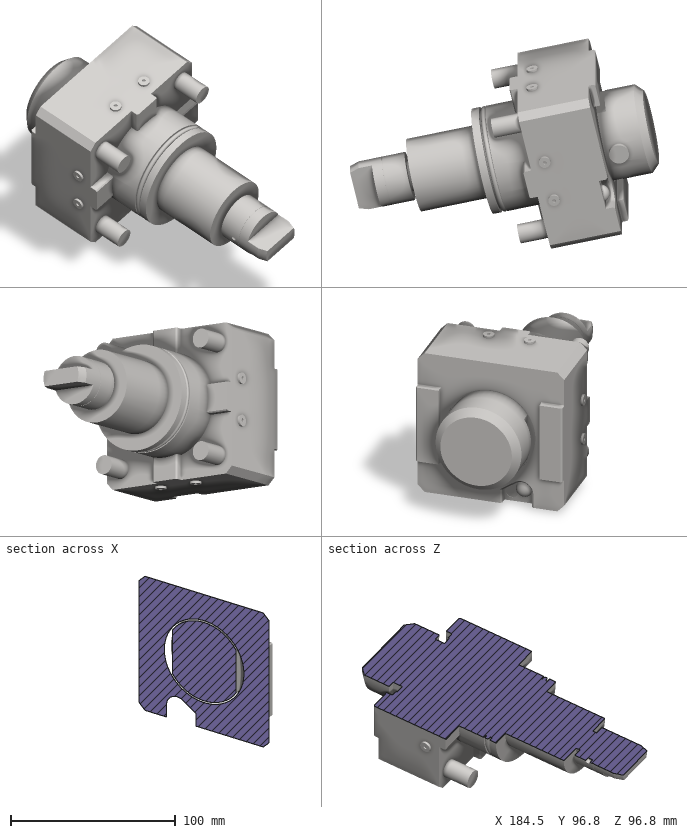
import cadquery as cq
import math


nose_chamfer = 4.6
block_start = 28.5
block_end = 72.5
key_end = 77.5
bolt_end = 90.2
groove_start = 95.8
groove_end = 99.8
flange_end = 104.6
shank_end = 147.5
neck_end = 150.0
head_line = 163.7
head_end = 170.5
tang_taper_start = 178.8
tang_end = 184.5

nose_radius = 27.5
nose_flat_start = 22.9
nose_flat_offset = 23.0
nose_clearance_radius = 28.5
nose_clearance_depth = 1.0
stud_x = 20.0
stud_radius = 6.0
stud_reach = 29.7

flange_radius = 32.7
groove_floor_radius = 30.3
ring_section_radius = 1.5
ring_gap = 0.2
shank_radius = 22.5
neck_radius = 9.2
head_radius = 15.0
head_line_width = 0.5
head_line_depth = 0.2
tang_thickness = 9.6
tang_tip_radius = 13.1
pin_hole_x = 159.8
pin_hole_radius = 1.5
pin_hole_depth = 2.8

block_half = 46.9
block_chamfer = 4.5
key_width = 18.0
key_chamfer = 0.7
pad_start = 24.4
pad_inner = 32.3
pad_length = 49.8
pad_chamfer = 1.0
pad_base_fillet = 0.5
pad_root = 1.8
bolt_radius = 5.9
bolt_y = 36.3
bolt_z = 34.9
screw_x = 63.3
screw_offset = 13.1
screw_radius = 3.5
screw_height = 1.5
screw_socket_radius = 1.1
screw_socket_depth = 1.0

pocket_depth = 5.5
pocket_chamfer = 1.1
pocket_radius = 6.6
pocket_near_side = -6.8
pocket_shoulder_z = -38.2
ball_radius = 5.5
ball_sink = 1.8
ball_y = -19.4
ball_z = -37.8
port_radius = 4.0
port_depth = 0.5
port_y = -11.5
port_z = -40.5


def x_cylinder(start, end, radius, y=0, z=0):
    """Round bar along X."""
    return cq.Workplane("YZ", origin=(start, y, z)).circle(radius).extrude(end - start)


def span_box(x_range, y_range, z_range):
    """Box between the two limits given for each axis."""
    low, high = zip(x_range, y_range, z_range)
    size = [b - a for a, b in zip(low, high)]
    return cq.Workplane("XY").box(*size, centered=False).translate(low)


def around_axis(solid, angle):
    return solid.rotate((0, 0, 0), (1, 0, 0), angle)


def make_block():
    side = 2 * block_half
    block = (
        cq.Workplane("YZ", origin=(block_start, 0, 0))
        .rect(side, side)
        .extrude(block_end - block_start)
        .edges("|X")
        .chamfer(block_chamfer)
    )
    return block.cut(
        x_cylinder(block_start, block_start + nose_clearance_depth, nose_clearance_radius)
    )


def make_nose():
    nose = x_cylinder(0, block_start + nose_clearance_depth, nose_radius)
    nose = nose.faces("<X").chamfer(nose_chamfer)
    for angle in (0, 180):
        flat = span_box(
            (nose_flat_start, block_end),
            (nose_flat_offset, nose_radius),
            (-nose_radius, nose_radius),
        )
        nose = nose.cut(around_axis(flat, angle))
    stud = cq.Workplane("XY", origin=(stud_x, 0, -stud_reach)).circle(stud_radius).extrude(stud_reach)
    return nose.union(stud)


def make_body():
    """Flange, shank, neck and head, with the sealing ring in the flange."""
    body = x_cylinder(block_end, flange_end, flange_radius)
    groove = x_cylinder(groove_start, groove_end, flange_radius).cut(
        x_cylinder(groove_start, groove_end, groove_floor_radius)
    )
    ring_x = groove_start + ring_section_radius + ring_gap
    ring = (
        cq.Workplane("XY")
        .center(ring_x, flange_radius - ring_section_radius)
        .circle(ring_section_radius)
        .revolve(360, (0, ring_section_radius - flange_radius), (1, ring_section_radius - flange_radius))
    )
    body = body.cut(groove).union(ring)
    body = body.union(x_cylinder(flange_end, shank_end, shank_radius))
    body = body.union(x_cylinder(shank_end, neck_end, neck_radius))
    return body.union(make_head())


def make_head():
    """Driver head ending in a flat tang with a tapered tip."""
    head = (
        cq.Workplane("XY")
        .moveTo(neck_end, 0)
        .lineTo(neck_end, head_radius)
        .lineTo(tang_taper_start, head_radius)
        .lineTo(tang_end, tang_tip_radius)
        .lineTo(tang_end, 0)
        .close()
        .revolve(360, (0, 0, 0), (1, 0, 0))
    )
    for angle in (0, 180):
        relief = span_box(
            (head_end, tang_end),
            (-head_radius, head_radius),
            (tang_thickness / 2, head_radius),
        )
        head = head.cut(around_axis(relief, angle))
    line_end = head_line + head_line_width
    line = x_cylinder(head_line, line_end, head_radius).cut(
        x_cylinder(head_line, line_end, head_radius - head_line_depth)
    )
    pin_hole = (
        cq.Workplane("XZ", origin=(pin_hole_x, -head_radius, 0))
        .circle(pin_hole_radius)
        .extrude(-pin_hole_depth)
    )
    return head.cut(line).cut(pin_hole)


def make_key():
    """Key on the mounting face, from the axis out to the +Z side of the block."""
    key = span_box(
        (block_end, key_end),
        (-key_width / 2, key_width / 2),
        (0, block_half),
    )
    return key.faces(">X").edges("|Z").chamfer(key_chamfer)


def make_pad():
    """Raised pad at the +Y side of the nose face, flared where it meets the block."""
    half = pad_length / 2
    pad = span_box((pad_start, block_start), (pad_inner, block_half), (-half, half))
    pad = pad.faces("<X").edges(">Y").chamfer(pad_chamfer)
    root = span_box(
        (block_start, block_start + pad_root),
        (pad_inner - pad_root, block_half),
        (-half - pad_root, half + pad_root),
    )
    margin = pad_base_fillet / 2
    base_edges = cq.selectors.BoxSelector(
        (block_start - margin, pad_inner - margin, -half - margin),
        (block_start + margin, block_half, half + margin),
    )
    return pad.union(root).edges(base_edges).fillet(pad_base_fillet)


def make_screws():
    """Pair of screw heads standing out of the +Z side."""
    top = block_half + screw_height
    places = [(screw_x, -screw_offset), (screw_x, screw_offset)]
    heads = (
        cq.Workplane("XY", origin=(0, 0, block_half - screw_height))
        .pushPoints(places)
        .circle(screw_radius)
        .extrude(2 * screw_height)
    )
    sockets = (
        cq.Workplane("XY", origin=(0, 0, top))
        .pushPoints(places)
        .circle(screw_socket_radius)
        .extrude(-screw_socket_depth)
    )
    return heads.cut(sockets)


def cut_coolant_pocket(part):
    """Chamfered pocket with a ball nozzle and a round port in its floor."""
    floor_x = block_start + pocket_depth
    far_side = ball_y - pocket_radius
    run = pocket_near_side - ball_y
    drop = pocket_shoulder_z - ball_z
    tangent_angle = math.atan2(drop, run) + math.acos(pocket_radius / math.hypot(run, drop))
    tangent = (
        ball_y + pocket_radius * math.cos(tangent_angle),
        ball_z + pocket_radius * math.sin(tangent_angle),
    )
    outline = (
        cq.Workplane("YZ", origin=(block_start, 0, 0))
        .moveTo(pocket_near_side, -2 * block_half)
        .lineTo(pocket_near_side, pocket_shoulder_z)
        .lineTo(*tangent)
        .threePointArc((ball_y, ball_z + pocket_radius), (far_side, ball_z))
        .lineTo(far_side, -2 * block_half)
        .close()
    )
    pocket = outline.extrude(pocket_depth)
    mouth = (
        outline.wires()
        .toPending()
        .offset2D(pocket_chamfer)
        .extrude(pocket_chamfer, taper=45)
    )
    port = x_cylinder(floor_x, floor_x + port_depth, port_radius, port_y, port_z)
    ball = cq.Workplane("XY", origin=(floor_x + ball_sink, ball_y, ball_z)).sphere(ball_radius)
    return part.cut(pocket).cut(mouth).cut(port).union(ball)


result = cut_coolant_pocket(make_block()).union(make_nose()).union(make_body())

for angle in (0, 90, 180, 270):
    result = result.union(around_axis(make_key(), angle))
    result = result.union(around_axis(make_screws(), angle))

for angle in (0, 180):
    result = result.union(around_axis(make_pad(), angle))

for y in (-bolt_y, bolt_y):
    for z in (-bolt_z, bolt_z):
        result = result.union(x_cylinder(block_end, bolt_end, bolt_radius, y, z))